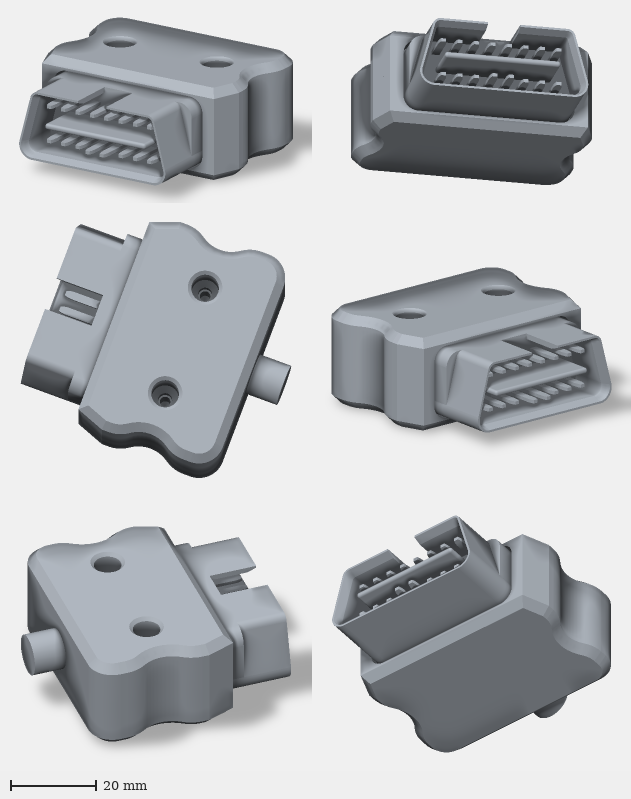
import cadquery as cq
import math


SHELL_LENGTH = 35.0
SHELL_HEIGHT = 23.0
SHELL_WIDTH = 53.0
FRONT_HALF_WIDTH = 23.9
FRONT_TAPER_LENGTH = 6.85
REAR_CORNER_RADIUS = 6.0
GRIP_CENTER_Y = 17.9
GRIP_HALF_LENGTH = 9.3
GRIP_DEPTH = 3.0
SHELL_CHAMFER = 2.0

OPENING_WIDTH = 41.35
OPENING_HEIGHT = 17.8
OPENING_RADIUS = 3.5
SEAT_DEPTH = 4.7

SCREW_SPACING = 26.95
SCREW_BORE_DIAMETER = 6.5
SCREW_BORE_DEPTH = 7.6
SCREW_RIM_CHAMFER = 0.8
SCREW_CLEARANCE_DIAMETER = 3.35
PILOT_DIAMETER = 2.45
PILOT_DEPTH = 5.85
PILOT_POINT_ANGLE = 90.0

CONNECTOR_WIDTH = 40.65
CONNECTOR_HEIGHT = 17.1
CONNECTOR_REACH = 15.8
CONNECTOR_CORNER_RADIUS = 3.45
BASE_REACH = 4.0
SHROUD_ANGLE = 15.0
SHROUD_TOP_RADIUS = 2.0
RIM_THICKNESS = 0.5
CAVITY_FLOOR_REACH = 4.15
LEAD_IN_WIDTH = 0.8
LEAD_IN_LENGTH = 2.2
WINDOW_WIDTH = 7.85
WINDOW_CUT_DEPTH = 2.35

PINS_PER_ROW = 8
PIN_PITCH = 4.0
PIN_ROW_OFFSET = 4.3
PIN_WIDTH = 1.9
PIN_THICKNESS = 0.8
PIN_REACH = 12.8
LONG_PIN_REACH = 14.8
LONG_PIN_INDICES = (3, 4)
PIN_TIP_WIDTH = 1.1
PIN_TIP_LENGTH = 2.0
BAR_WIDTH = 27.85
BAR_THICKNESS = 1.4
BAR_REACH = 14.8
BAR_EDGE_RADIUS = 0.65

CABLE_DIAMETER = 9.85
CABLE_LENGTH = 7.7


def front_plane(y):
    """Sketch plane at y whose local axes are X and Z and whose normal is -Y."""
    return cq.Workplane("XZ", origin=(0, y, 0))


def shell_block():
    """Both shell halves as one chamfered block with a waisted grip on each side."""
    half_width = SHELL_WIDTH / 2
    waist_x = half_width - GRIP_DEPTH
    bend_x = half_width - GRIP_DEPTH / 2
    bend_offset = GRIP_HALF_LENGTH / 2
    grip_front = GRIP_CENTER_Y - GRIP_HALF_LENGTH
    grip_rear = GRIP_CENTER_Y + GRIP_HALF_LENGTH
    grip_radius = (GRIP_HALF_LENGTH**2 + GRIP_DEPTH**2) / (4 * GRIP_DEPTH)
    corner_x = half_width - REAR_CORNER_RADIUS
    corner_y = SHELL_LENGTH - REAR_CORNER_RADIUS

    half = (
        cq.Workplane("XY", origin=(0, 0, -SHELL_HEIGHT / 2))
        .lineTo(FRONT_HALF_WIDTH, 0)
        .lineTo(half_width, FRONT_TAPER_LENGTH)
        .lineTo(half_width, grip_front)
        .radiusArc((bend_x, GRIP_CENTER_Y - bend_offset), -grip_radius)
        .threePointArc((waist_x, GRIP_CENTER_Y), (bend_x, GRIP_CENTER_Y + bend_offset))
        .radiusArc((half_width, grip_rear), -grip_radius)
        .lineTo(half_width, corner_y)
        .radiusArc((corner_x, SHELL_LENGTH), -REAR_CORNER_RADIUS)
        .lineTo(0, SHELL_LENGTH)
        .close()
        .extrude(SHELL_HEIGHT)
    )
    block = half.union(half.mirror("YZ")).clean()
    return block.faces("<Z or >Z").chamfer(SHELL_CHAMFER)


def connector_opening():
    """Pocket in the shell, wider than the connector all round, whose floor seats it."""
    return (
        front_plane(SEAT_DEPTH)
        .rect(OPENING_WIDTH, OPENING_HEIGHT)
        .extrude(SEAT_DEPTH)
        .edges("|Y")
        .fillet(OPENING_RADIUS)
    )


def screw_hole(x):
    """Stepped screw hole on a vertical axis at x, revolved from its half section."""
    top = SHELL_HEIGHT / 2
    bore_radius = SCREW_BORE_DIAMETER / 2
    clearance_radius = SCREW_CLEARANCE_DIAMETER / 2
    pilot_radius = PILOT_DIAMETER / 2
    bore_floor = top - SCREW_BORE_DEPTH
    countersink_depth = bore_radius - clearance_radius
    point_depth = pilot_radius / math.tan(math.radians(PILOT_POINT_ANGLE / 2))
    section = [
        (0, top),
        (bore_radius + SCREW_RIM_CHAMFER, top),
        (bore_radius, top - SCREW_RIM_CHAMFER),
        (bore_radius, bore_floor),
        (clearance_radius, bore_floor - countersink_depth),
        (clearance_radius, 0),
        (pilot_radius, 0),
        (pilot_radius, -PILOT_DEPTH),
        (0, -PILOT_DEPTH - point_depth),
    ]
    return (
        cq.Workplane("XZ", origin=(x, GRIP_CENTER_Y, 0))
        .polyline(section)
        .close()
        .revolve(360, (0, 0, 0), (0, 1, 0))
    )


def shell_with_cutouts():
    """Shell block with the connector pocket and both screw holes, before it is split."""
    shell = shell_block().cut(connector_opening())
    for x in (-SCREW_SPACING / 2, SCREW_SPACING / 2):
        shell = shell.cut(screw_hole(x))
    return shell


def shell_half(shell, side):
    """Part of the shell above (side = 1) or below (side = -1) the parting plane."""
    keep = cq.Workplane("XY").box(
        2 * SHELL_WIDTH, 2 * SHELL_LENGTH, SHELL_HEIGHT, centered=(True, True, False)
    )
    if side < 0:
        keep = keep.mirror("XY")
    return shell.intersect(keep)


def connector_outline(y, side_angle):
    """Outline on the plane at y, its sides leaning inward toward the top by side_angle degrees.

    The sides rise from the points where leaning shroud walls are tangent to the lower corners.
    """
    top = CONNECTOR_HEIGHT / 2
    radius = CONNECTOR_CORNER_RADIUS
    corner_x = CONNECTOR_WIDTH / 2 - radius
    tangent_x = corner_x + radius * math.cos(math.radians(SHROUD_ANGLE))
    tangent_z = radius - top + radius * math.sin(math.radians(SHROUD_ANGLE))
    top_x = tangent_x - (top - tangent_z) * math.tan(math.radians(side_angle))
    return (
        front_plane(y)
        .moveTo(-top_x, top)
        .lineTo(top_x, top)
        .lineTo(tangent_x, tangent_z)
        .radiusArc((corner_x, -top), radius)
        .lineTo(-corner_x, -top)
        .radiusArc((-tangent_x, tangent_z), radius)
        .close()
    )


def connector_base():
    """Upright block from the seat floor to the root of the shroud."""
    return (
        connector_outline(SEAT_DEPTH, 0)
        .extrude(SEAT_DEPTH + BASE_REACH)
        .edges("|Y and >Z")
        .fillet(CONNECTOR_CORNER_RADIUS)
    )


def shroud_block():
    """D-shaped block, wide side down, before it is hollowed."""
    return (
        connector_outline(-BASE_REACH, SHROUD_ANGLE)
        .extrude(CONNECTOR_REACH - BASE_REACH)
        .edges("|Y and >Z")
        .fillet(SHROUD_TOP_RADIUS)
    )


def shroud_cavity(shroud):
    """Socket inside the shroud, flared at the mouth down to a thin rim."""
    rim = shroud.faces("<Y").wires().val()
    mouth = rim.offset2D(-RIM_THICKNESS)[0]
    throat = mouth.offset2D(-LEAD_IN_WIDTH)[0]
    socket_depth = CONNECTOR_REACH - CAVITY_FLOOR_REACH
    socket = cq.Solid.extrudeLinear(throat, [], cq.Vector(0, socket_depth, 0))
    flare_end = throat.translate(cq.Vector(0, LEAD_IN_LENGTH, 0))
    flare = cq.Solid.makeLoft([mouth, flare_end], True)
    return cq.Workplane(socket).union(cq.Workplane(flare))


def key_window():
    """Slot through the top wall of the shroud, open at the mouth."""
    return (
        front_plane(-CAVITY_FLOOR_REACH)
        .center(0, (CONNECTOR_HEIGHT - WINDOW_CUT_DEPTH) / 2)
        .rect(WINDOW_WIDTH, WINDOW_CUT_DEPTH)
        .extrude(CONNECTOR_REACH - CAVITY_FLOOR_REACH)
    )


def center_bar():
    """Flat bar with rounded edges between the two rows of pins."""
    return (
        front_plane(-CAVITY_FLOOR_REACH)
        .rect(BAR_WIDTH, BAR_THICKNESS)
        .extrude(BAR_REACH - CAVITY_FLOOR_REACH)
        .edges("<Y or |Y")
        .fillet(BAR_EDGE_RADIUS)
    )


def pin(x, z, reach):
    """Flat contact with rounded shoulders and a blunt tip, reaching forward from the cavity floor."""
    side = PIN_WIDTH / 2
    tip = PIN_TIP_WIDTH / 2
    shoulder_y = PIN_TIP_LENGTH - reach
    shoulder_radius = (PIN_TIP_LENGTH**2 + (side - tip) ** 2) / (2 * (side - tip))
    return (
        cq.Workplane("XY", origin=(x, 0, z - PIN_THICKNESS / 2))
        .moveTo(-side, -CAVITY_FLOOR_REACH)
        .lineTo(-side, shoulder_y)
        .radiusArc((-tip, -reach), -shoulder_radius)
        .lineTo(tip, -reach)
        .radiusArc((side, shoulder_y), -shoulder_radius)
        .lineTo(side, -CAVITY_FLOOR_REACH)
        .close()
        .extrude(PIN_THICKNESS)
    )


def connector():
    """Connector with its pins, as one solid."""
    shroud = shroud_block()
    body = connector_base().union(shroud)
    body = body.cut(shroud_cavity(shroud)).cut(key_window()).union(center_bar())
    for index in range(PINS_PER_ROW):
        x = (index - (PINS_PER_ROW - 1) / 2) * PIN_PITCH
        lower_reach = LONG_PIN_REACH if index in LONG_PIN_INDICES else PIN_REACH
        body = body.union(pin(x, PIN_ROW_OFFSET, PIN_REACH))
        body = body.union(pin(x, -PIN_ROW_OFFSET, lower_reach))
    return body


def cable():
    """Cable stub that starts on the rear face of the shell."""
    return front_plane(SHELL_LENGTH).circle(CABLE_DIAMETER / 2).extrude(-CABLE_LENGTH)


shell = shell_with_cutouts()
upper_shell = shell_half(shell, 1)
lower_shell = shell_half(shell, -1)
obd_connector = connector()
cable_stub = cable()

result = cq.Compound.makeCompound(
    [upper_shell.val(), lower_shell.val(), obd_connector.val(), cable_stub.val()]
)